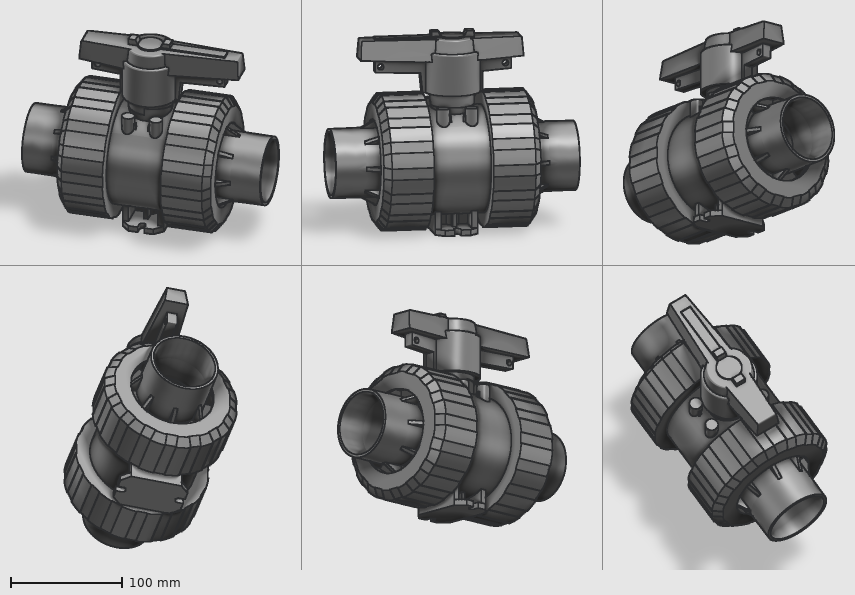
import cadquery as cq
import math

END_X = 111.5
BORE_R = 25.0

BODY_R = 49.0
BODY_HALF = 60.2

NUT_INNER_X = 27.2
NUT_CHAMFER_X = 65.8
NUT_OUTER_X = 71.8
NUT_WIDTH = 124.2
NUT_FACE_R = 54.5
NUT_OPENING_R = 38.8
GROOVE_COUNT = 16
GROOVE_WIDTH = 10.3
GROOVE_DEPTH = 1.0
NUT_R = math.hypot(NUT_WIDTH, GROOVE_WIDTH) / 2

FLANGE_X = 64.5
SLEEVE_X = 83.6
SLEEVE_R = 31.7
MOUTH_R = 31.5
SOCKET_MOUTH_R = 28.8
SOCKET_FLOOR_R = 28.3
RIB_COUNT = 8
RIB_WIDTH = 3.5
RIB_R = 38.4
RIB_RAMP_X = 71.4

STEM_R = 20.0
STEM_CORE_R = 19.6
STEM_TOP = 83.2
COLLAR_BOTTOM = 51.0
NOTCH_TOP = 57.8
NOTCH_TOP_INNER = 53.7
POST_R = 5.8
POST_X = 13.0
POST_Y = 27.2
POST_TOP = 52.2
TAB_X = 6.0
TAB_FOOT_X = 5.4
TAB_WIDTH = 2.7
TAB_TOP = 45.5
TAB_FOOT = 39.0

FOOT_BOTTOM = -64.2
FOOT_TOP = -58.9
FOOT_HALF_X = 19.5
FOOT_HALF_Y = 31.5
FOOT_CHAMFER = 7.8
FOOT_SLOT_WIDTH = 6.0
FOOT_SLOT_END = 23.2
CHEEK_WIDTH = 5.5
CHEEK_HALF_Y = 23.6
WEB_THICKNESS = 4.5
BOSS_R = 6.0
RIB_X_WIDTH = 3.8
RIB_HALF_Y = 14.7

SKIRT_R = 25.6
SKIRT_BOTTOM = 62.9
SKIRT_TOP = 100.5
SKIRT_FILLET = 1.8
SLOT_WIDTH = 11.5
HUB_BASE_R = 22.7
HUB_TOP_R = 21.0
HUB_FILLET = 1.8
LEVER_TOP = 112.8
LEVER_BOTTOM = 91.9
LEVER_TIP_BOTTOM = 95.2
LEVER_TIP_FILLET = 1.8
LEVER_BOTTOM_OUTLINE = (-63.8, 85.5, 12.3, 16.5, 11.4)
LEVER_TOP_OUTLINE = (-62.2, 84.0, 9.8, 13.5, 8.3)

KEY_WIDTH = 9.4
FIN_LEFT = -53.5
FIN_RIGHT = 71.0
FIN_TIP_BOTTOM = 82.7
FIN_ROOT_BOTTOM = 81.0
FIN_CORNER_FILLET = 1.1
LEG_LEFT = -27.2
LEG_RIGHT = 27.7
LEG_RIGHT_TOP = 29.5
FIN_HOLE_R = 2.7
FIN_HOLE_Z = 87.9
FIN_HOLES_X = (-48.2, 66.0)
CAP_TOP = 114.2
DISC_R = 11.5
STRIP_WIDTH = 10.0
TOOTH_TOP = 118.5
TOOTH_OUTER_X = 19.5
TOOTH_TOP_X = 12.7
TOOTH_BASE_X = 10.7


def box(x0, x1, y0, y1, z0, z1):
    return cq.Workplane("XY").box(x1 - x0, y1 - y0, z1 - z0, centered=False).translate((x0, y0, z0))


def disc(radius, z0, z1, x=0, y=0):
    return cq.Workplane("XY", origin=(x, y, z0)).circle(radius).extrude(z1 - z0)


def plate(points, width):
    """Plate of the given XZ outline, centred on Y = 0."""
    return cq.Workplane("XZ").polyline(points).close().extrude(width / 2, both=True)


def turned(points):
    """Solid of revolution about X from (x, radius) points."""
    return cq.Workplane("XY").polyline(points).close().revolve(360, (0, 0, 0), (1, 0, 0))


def pipe_cylinder(radius, x0, x1):
    return cq.Workplane("YZ", origin=(x0, 0, 0)).circle(radius).extrude(x1 - x0)


def around_pipe(shape, count):
    """Copies of a shape, evenly spaced about the X axis."""
    copies = [shape.rotate((0, 0, 0), (1, 0, 0), 360 * i / count).val() for i in range(count)]
    return cq.Workplane("XY").newObject(copies)


def mirrored_end(shape, side):
    """The +X shape itself, or its mirror image at the -X end."""
    return shape if side > 0 else shape.mirror("YZ")


def make_nut(side):
    nut = turned([
        (NUT_INNER_X, BODY_R),
        (NUT_INNER_X, NUT_R),
        (NUT_CHAMFER_X, NUT_R),
        (NUT_OUTER_X, NUT_FACE_R),
        (NUT_OUTER_X, NUT_OPENING_R),
        (FLANGE_X, NUT_OPENING_R),
        (FLANGE_X, BODY_R),
    ])
    groove = plate([
        (NUT_INNER_X, NUT_R - GROOVE_DEPTH),
        (NUT_CHAMFER_X, NUT_R - GROOVE_DEPTH),
        (NUT_OUTER_X, NUT_FACE_R - GROOVE_DEPTH),
        (NUT_OUTER_X, NUT_WIDTH),
        (NUT_INNER_X, NUT_WIDTH),
    ], GROOVE_WIDTH)
    for cutter in around_pipe(groove, GROOVE_COUNT).vals():
        nut = nut.cut(cq.Workplane(cutter))
    return mirrored_end(nut, side)


def make_connector(side):
    connector = turned([
        (BODY_HALF, BORE_R),
        (BODY_HALF, BODY_R),
        (FLANGE_X, BODY_R),
        (FLANGE_X, SLEEVE_R),
        (SLEEVE_X, SLEEVE_R),
        (END_X, MOUTH_R),
        (END_X, SOCKET_MOUTH_R),
        (SLEEVE_X, SOCKET_FLOOR_R),
        (FLANGE_X, BORE_R),
    ])
    rib_foot_r = (SOCKET_FLOOR_R + SLEEVE_R) / 2
    rib = plate([
        (FLANGE_X, rib_foot_r),
        (FLANGE_X, RIB_R),
        (RIB_RAMP_X, RIB_R),
        (SLEEVE_X, SLEEVE_R),
        (SLEEVE_X, rib_foot_r),
    ], RIB_WIDTH)
    for copy in around_pipe(rib, RIB_COUNT).vals():
        connector = connector.union(cq.Workplane(copy))
    return mirrored_end(connector, side)


def make_stem():
    """Stem with a collar whose lower edge has a stop notch in the +X -Y quarter."""
    notch = (
        cq.Workplane("YZ")
        .polyline([
            (-STEM_R, COLLAR_BOTTOM),
            (-STEM_R, NOTCH_TOP),
            (0, NOTCH_TOP_INNER),
            (0, COLLAR_BOTTOM),
        ])
        .close()
        .extrude(STEM_R)
    )
    collar = disc(STEM_R, COLLAR_BOTTOM, STEM_TOP).cut(notch)
    return disc(STEM_CORE_R, BORE_R, STEM_TOP).union(collar)


def make_post(side_x, side_y):
    """Post on the body's shoulder, with a small tab towards the centre."""
    post = disc(POST_R, BORE_R, POST_TOP, POST_X, POST_Y)
    tab = plate([
        (TAB_FOOT_X, TAB_FOOT),
        (TAB_X, TAB_TOP),
        (POST_X, TAB_TOP),
        (POST_X, TAB_FOOT),
    ], TAB_WIDTH).translate((0, POST_Y, 0))
    corner = post.union(tab)
    if side_x < 0:
        corner = corner.mirror("YZ")
    if side_y < 0:
        corner = corner.mirror("XZ")
    return corner


def make_foot():
    foot = (
        box(-FOOT_HALF_X, FOOT_HALF_X, -FOOT_HALF_Y, FOOT_HALF_Y, FOOT_BOTTOM, FOOT_TOP)
        .edges("|Z")
        .chamfer(FOOT_CHAMFER)
    )
    slot_r = FOOT_SLOT_WIDTH / 2
    slot_centre = FOOT_SLOT_END + slot_r
    for side in (-1, 1):
        foot = foot.cut(disc(slot_r, FOOT_BOTTOM, FOOT_TOP, 0, side * slot_centre))
        y0, y1 = sorted((side * slot_centre, side * FOOT_HALF_Y))
        foot = foot.cut(box(-slot_r, slot_r, y0, y1, FOOT_BOTTOM, FOOT_TOP))

    top = -BODY_R + WEB_THICKNESS
    cheek_top = -math.sqrt(BODY_R**2 - CHEEK_HALF_Y**2) + WEB_THICKNESS
    cheek_inner = FOOT_HALF_X - CHEEK_WIDTH
    for x0 in (-FOOT_HALF_X, cheek_inner):
        foot = foot.union(box(x0, x0 + CHEEK_WIDTH, -CHEEK_HALF_Y, CHEEK_HALF_Y, FOOT_BOTTOM, cheek_top))
    web_y = WEB_THICKNESS / 2
    foot = foot.union(box(-FOOT_HALF_X, FOOT_HALF_X, -web_y, web_y, FOOT_BOTTOM, top))
    foot = foot.union(disc(BOSS_R, FOOT_BOTTOM, top))
    rib_x = RIB_X_WIDTH / 2
    return foot.union(box(-rib_x, rib_x, -RIB_HALF_Y, RIB_HALF_Y, FOOT_BOTTOM, top))


def make_body():
    body = pipe_cylinder(BODY_R, -BODY_HALF, BODY_HALF).union(make_stem()).union(make_foot())
    for side_x in (-1, 1):
        for side_y in (-1, 1):
            body = body.union(make_post(side_x, side_y))
    return body.cut(pipe_cylinder(BORE_R, -BODY_HALF, BODY_HALF))


def lever_section(left, right, left_half, centre_half, right_half):
    return [
        (left, -left_half),
        (0, -centre_half),
        (right, -right_half),
        (right, right_half),
        (0, centre_half),
        (left, left_half),
    ]


def make_lever():
    lever = (
        cq.Workplane("XY", origin=(0, 0, LEVER_BOTTOM))
        .polyline(lever_section(*LEVER_BOTTOM_OUTLINE))
        .close()
        .workplane(offset=LEVER_TOP - LEVER_BOTTOM)
        .polyline(lever_section(*LEVER_TOP_OUTLINE))
        .close()
        .loft(ruled=True)
    )
    lever = lever.faces(">Z").edges("|Y").fillet(LEVER_TIP_FILLET)
    left, right = LEVER_BOTTOM_OUTLINE[:2]
    for tip in (left, right):
        underside = plate([
            (0, LEVER_BOTTOM),
            (tip, LEVER_TIP_BOTTOM),
            (tip, LEVER_BOTTOM),
        ], 2 * SKIRT_R)
        lever = lever.cut(underside)
    return lever


def make_hub():
    """Skirt around the stem, with a tapered hub on top."""
    skirt = disc(SKIRT_R, SKIRT_BOTTOM, SKIRT_TOP).faces(">Z").edges().fillet(SKIRT_FILLET)
    hub = (
        cq.Workplane("XZ")
        .polyline([
            (0, SKIRT_BOTTOM),
            (HUB_BASE_R, SKIRT_BOTTOM),
            (HUB_BASE_R, SKIRT_TOP),
            (HUB_TOP_R, LEVER_TOP),
            (0, LEVER_TOP),
        ])
        .close()
        .revolve(360, (0, 0, 0), (0, 1, 0))
        .faces(">Z")
        .edges()
        .fillet(HUB_FILLET)
    )
    return skirt.union(hub)


def make_fins():
    fins = plate([
        (FIN_LEFT, FIN_TIP_BOTTOM),
        (LEG_LEFT, FIN_ROOT_BOTTOM),
        (LEG_LEFT, SKIRT_BOTTOM),
        (LEG_RIGHT, SKIRT_BOTTOM),
        (LEG_RIGHT_TOP, FIN_ROOT_BOTTOM),
        (FIN_RIGHT, FIN_TIP_BOTTOM),
        (FIN_RIGHT, SKIRT_TOP),
        (FIN_LEFT, SKIRT_TOP),
    ], KEY_WIDTH)
    for x in (FIN_LEFT, FIN_RIGHT):
        corner = cq.selectors.NearestToPointSelector((x, 0, FIN_TIP_BOTTOM))
        fins = fins.edges(corner).fillet(FIN_CORNER_FILLET)
    for x in FIN_HOLES_X:
        hole = cq.Workplane("XZ", origin=(x, 0, FIN_HOLE_Z)).circle(FIN_HOLE_R)
        fins = fins.cut(hole.extrude(KEY_WIDTH, both=True))
    return fins


def make_key_top():
    """Raised disc, indicator strip and two teeth on top of the lever."""
    key_top = disc(DISC_R, SKIRT_TOP, CAP_TOP)
    strip_y = STRIP_WIDTH / 2
    key_top = key_top.union(box(0, FIN_RIGHT, -strip_y, strip_y, SKIRT_TOP, CAP_TOP))
    for side in (-1, 1):
        tooth = plate([
            (side * TOOTH_OUTER_X, SKIRT_TOP),
            (side * TOOTH_OUTER_X, TOOTH_TOP),
            (side * TOOTH_TOP_X, TOOTH_TOP),
            (side * TOOTH_BASE_X, CAP_TOP),
            (side * TOOTH_BASE_X, SKIRT_TOP),
        ], KEY_WIDTH)
        key_top = key_top.union(tooth)
    return key_top


def make_handle():
    slot = box(-SKIRT_R, SKIRT_R, -SLOT_WIDTH / 2, SLOT_WIDTH / 2, SKIRT_BOTTOM, LEVER_TIP_BOTTOM)
    handle = make_hub().cut(slot).union(make_lever()).union(make_fins()).union(make_key_top())
    return handle.cut(disc(STEM_R, SKIRT_BOTTOM, STEM_TOP))


body = make_body()
handle = make_handle()
nuts = [make_nut(side) for side in (-1, 1)]
connectors = [make_connector(side) for side in (-1, 1)]

result = cq.Compound.makeCompound([
    body.solids().val(),
    handle.solids().val(),
    *[nut.solids().val() for nut in nuts],
    *[connector.solids().val() for connector in connectors],
])